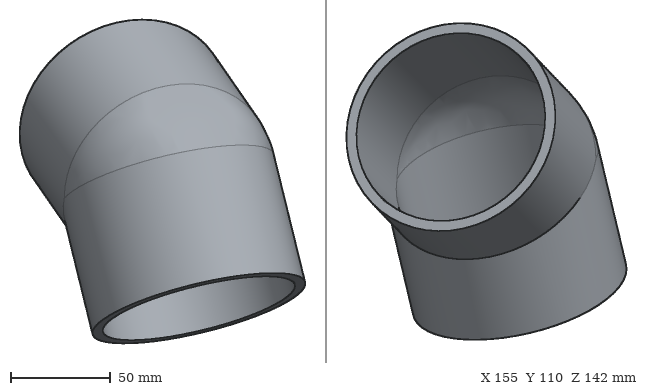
import cadquery as cq
import math

overall_length = 155.0
outer_diameter = 110.0
inner_diameter = 99.3
bend_angle = 45.0

bend = math.radians(bend_angle)
leg_length = (overall_length - outer_diameter / 2 * math.sin(bend)) / (1 + math.cos(bend))


def leg(diameter, direction):
    """Round bar running from the bend centre along the given direction."""
    return cq.Workplane(cq.Solid.makeCylinder(diameter / 2, leg_length, cq.Vector(0, 0, 0), direction))


def knuckle(diameter):
    """Spherical wedge filling the outside of the bend between the two legs."""
    radius = diameter / 2
    return (
        cq.Workplane("YZ")
        .moveTo(-radius, 0)
        .threePointArc((0, radius), (radius, 0))
        .close()
        .revolve(bend_angle, (0, 0), (1, 0))
    )


def elbow(diameter):
    """Solid elbow: a level leg toward -X and a leg bent downward toward +X."""
    level_leg = leg(diameter, cq.Vector(-1, 0, 0))
    bent_leg = leg(diameter, cq.Vector(math.cos(bend), 0, -math.sin(bend)))
    return level_leg.union(bent_leg).union(knuckle(diameter))


result = elbow(outer_diameter).cut(elbow(inner_diameter))